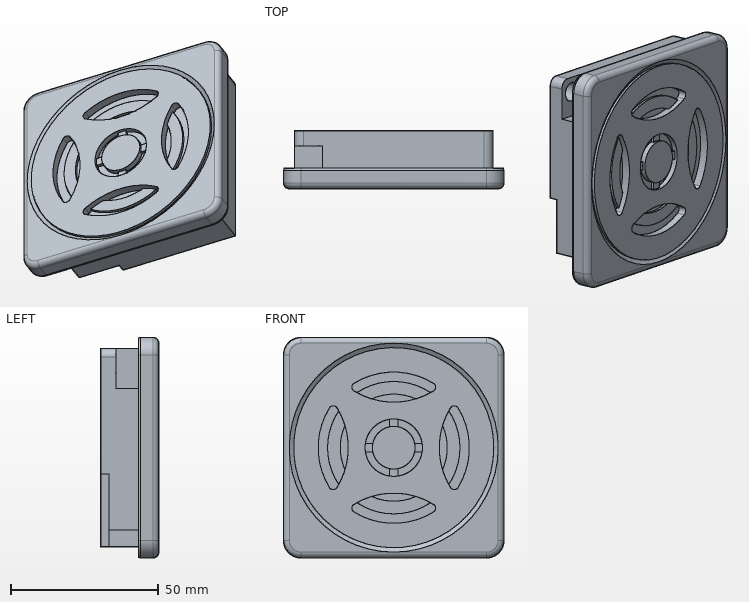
import cadquery as cq

plate_side = 75.0
plate_thickness = 7.0
total_depth = 19.8
body_side = 67.5
body_depth = total_depth - plate_thickness

plate_corner_radius = 6.0
front_edge_radius = 2.0
back_chamfer_width = 0.27
back_chamfer_depth = 0.8

body_corner_radius = 3.0
notch_width = 9.6
upper_notch_height = 13.7
upper_notch_depth = 7.6
lower_notch_height = 5.8
screw_hole_diameter = 6.5
screw_hole_offset = 28.6
back_step_side = 24.8
back_step_depth = 2.9

ring_inner_radius = 34.0
ring_outer_radius = 35.5
ring_depth = 1.0

opening_count = 4
opening_arc_radius = 25.7
opening_inner_reach = 15.45
opening_tip_radius = 1.5
opening_depth = 3.0
ridge_inner_radius = 18.2
ridge_outer_radius = 22.5
ridge_top_depth = 2.0

center_inner_radius = 7.25
center_outer_radius = 9.75
center_groove_depth = 2.0
rib_count = 4
rib_width = 3.0
rib_top_depth = 1.0


def front_plane(depth):
    """Sketch plane facing -Y at a given depth; negative lengths extrude toward the back."""
    return cq.Workplane("XZ", origin=(0, depth, 0))


def annulus(inner_radius, outer_radius, start, end):
    """Ring about the Y axis between two depths."""
    return front_plane(start).circle(outer_radius).circle(inner_radius).extrude(start - end)


def cover_plate():
    plate = front_plane(0).rect(plate_side, plate_side).extrude(-plate_thickness)
    plate = plate.edges("|Y").fillet(plate_corner_radius)
    plate = plate.faces("<Y").edges().fillet(front_edge_radius)
    back_edges = plate.faces(">Y").edges()
    return back_edges.chamfer(back_chamfer_depth, back_chamfer_width)


def side_cut(width, height, bottom, front, depth):
    """Box removed from the -X side of the body, placed by its bottom height and front depth."""
    box = cq.Workplane("XY").box(width, depth, height, centered=False)
    return box.translate((-body_side / 2, front, bottom))


def body():
    body_bottom = -body_side / 2
    upper_notch_bottom = body_side / 2 - upper_notch_height
    back_step_front = total_depth - back_step_depth
    block = front_plane(plate_thickness).rect(body_side, body_side).extrude(-body_depth)
    block = block.edges("|Y and >Z").fillet(body_corner_radius)

    upper_notch = side_cut(
        notch_width, upper_notch_height, upper_notch_bottom, plate_thickness, upper_notch_depth
    )
    lower_notch = side_cut(notch_width, lower_notch_height, body_bottom, plate_thickness, body_depth)
    back_step = side_cut(back_step_side, back_step_side, body_bottom, back_step_front, back_step_depth)
    block = block.cut(upper_notch).cut(lower_notch).cut(back_step)

    hole = front_plane(plate_thickness).center(-screw_hole_offset, screw_hole_offset)
    hole = hole.circle(screw_hole_diameter / 2).extrude(-body_depth)

    return block.cut(hole)


def ring_groove():
    profile = cq.Workplane("XY").polyline([
        (ring_inner_radius, 0),
        (ring_outer_radius, 0),
        (ring_inner_radius, ring_depth),
    ]).close()
    return profile.revolve(360, (0, 0, 0), (0, 1, 0))


def opening():
    """Lens above the centre: disc about the Y axis crossed with its mirror image, with rounded tips."""
    mirror_height = opening_inner_reach + opening_arc_radius
    disc = front_plane(0).circle(opening_arc_radius).extrude(-opening_depth)
    lens = disc.intersect(disc.translate((0, 0, mirror_height)))
    lens = lens.edges("|Y").fillet(opening_tip_radius)
    ridge = annulus(ridge_inner_radius, ridge_outer_radius, ridge_top_depth, opening_depth)
    return lens.cut(ridge)


def center_groove():
    groove = annulus(center_inner_radius, center_outer_radius, 0, center_groove_depth)
    rib_length = 2 * center_outer_radius
    rib_height = center_groove_depth - rib_top_depth
    rib = cq.Workplane("XY").box(rib_width, rib_height, rib_length, centered=(True, False, False))
    rib = rib.translate((0, rib_top_depth, 0))
    for index in range(rib_count):
        groove = groove.cut(rib.rotate((0, 0, 0), (0, 1, 0), index * 360 / rib_count))
    return groove


result = cover_plate().union(body())
result = result.cut(ring_groove())
for index in range(opening_count):
    result = result.cut(opening().rotate((0, 0, 0), (0, 1, 0), index * 360 / opening_count))
result = result.cut(center_groove())